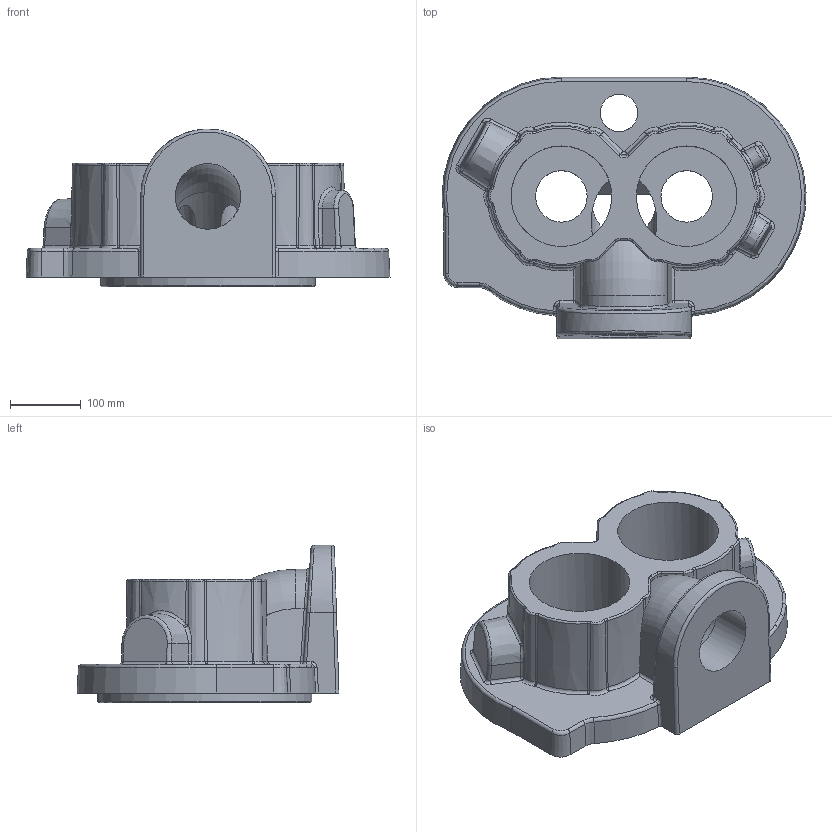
import cadquery as cq
import math

flange_radius = 168.5
overall_length = 513.77
overall_height = 222.83
front_face_y = -201.14
bore_offset = overall_length / 2 - flange_radius
flange_thickness = 40.5
flange_draft = 3.0
embed = flange_thickness / 2
flange_edge_radius = 4.5
pilot_chamfer = 1.5
corner_side_x = -254.4
corner_front_y = -128.6
corner_radius = 20.0
corner_blend_radius = 20.0

pilot_radius = 151.5
pilot_center_y = -11.6
pilot_depth = 14.0

housing_top = 160.5
housing_radius = 98.5
housing_draft = 1.0
housing_edge_radius = 2.5
rib_radius = 17.0
rib_pitch_radius = 86.0
rib_blend_radius = 8.0
rib_angles = (60, 120, 180, 240, 300)
notch_flat_y = 62.0
base_fillet = 4.5

bore_radius = 71.0
bore_floor = 47.0
outlet_radius = 36.3
vent_radius = 26.4
vent_center = (-7.0, 117.8)

port_plate_radius = 95.0
port_axis_z = overall_height - pilot_depth - port_plate_radius
port_plate_thickness = 53.0
port_back_y = front_face_y + port_plate_thickness
port_front_draft = 1.8
port_back_draft = 3.8
port_edge_radius = 4.5
port_fillet = 4.0
port_radius = 46.3
neck_radius = 61.0
neck_draft = 5.0
bend_radius = 90.0
bend_angle = 45.0
bend_start_y = -140.0
neck_tail = 40.0
passage_tail = 102.0
outflow_radius = 44.5
outflow_top = 22.0

pad_draft = 3.0
pad_edge_radius = 5.0
pad_inner_radius = 79.0
pads = (
    (-1, 150, 40.0, 147.0, 69.5),
    (1, 30, 13.0, 127.0, 96.5),
    (1, -30, 25.0, 127.0, 96.5),
)

edge_samples = (0.1, 0.5, 0.9)
touch_gap = 1e-4


def rise(distance, degrees):
    """Sideways shift of a drafted wall over a height."""
    return distance * math.tan(math.radians(degrees))


def near(point):
    """Selector for the sketch vertex at a point."""
    x, y = point
    return cq.selectors.BoxSelector((x - 1, y - 1, -1), (x + 1, y + 1, 1))


def edges_between(body, first, second):
    """Edges of a body that run along the surfaces of both given bodies."""
    shared = []
    for edge in body.edges().vals():
        samples = [cq.Vertex.makeVertex(*edge.positionAt(t).toTuple()) for t in edge_samples]
        if all(part.val().distance(point) < touch_gap for part in (first, second) for point in samples):
            shared.append(edge)
    return shared


def flange():
    """Drafted obround plate with one squared corner at the front left."""
    corner_end_x = -bore_offset - math.sqrt(flange_radius**2 - corner_front_y**2)
    corner_end = (corner_end_x, corner_front_y)
    corner_tip = (corner_side_x, corner_front_y)
    outline = (
        cq.Sketch()
        .slot(2 * bore_offset, 2 * flange_radius)
        .polygon([(corner_side_x, 0), (-bore_offset, 0), corner_end, corner_tip, (corner_side_x, 0)])
        .clean()
        .vertices(near(corner_tip))
        .fillet(corner_radius)
        .reset()
        .vertices(near(corner_end))
        .fillet(corner_blend_radius)
        .reset()
    )
    plate = cq.Workplane("XY").placeSketch(outline).extrude(flange_thickness, taper=flange_draft)
    return plate.faces(">Z").edges().fillet(flange_edge_radius)


def pilot():
    """Round locating spigot under the flange."""
    return (
        cq.Workplane("XY", origin=(0, pilot_center_y, -pilot_depth))
        .circle(pilot_radius)
        .extrude(pilot_depth + embed)
        .faces("<Z")
        .edges()
        .chamfer(pilot_chamfer)
    )


def housing():
    """Twin-bore tower with vertical ribs and a V-shaped notch at the front and back."""
    tangent = rib_radius / math.sqrt(2)
    shoulder_x = bore_offset - rib_pitch_radius * math.cos(math.radians(60)) - tangent
    shoulder_y = rib_pitch_radius * math.sin(math.radians(60)) + tangent
    valley_y = shoulder_y - shoulder_x
    bridge = [
        (-shoulder_x, shoulder_y),
        (0, valley_y),
        (shoulder_x, shoulder_y),
        (shoulder_x, -shoulder_y),
        (notch_flat_y - valley_y, -notch_flat_y),
        (valley_y - notch_flat_y, -notch_flat_y),
        (-shoulder_x, -shoulder_y),
        (-shoulder_x, shoulder_y),
    ]
    outline = cq.Sketch().polygon(bridge)
    for side in (-1, 1):
        outline = outline.push([(side * bore_offset, 0)]).circle(housing_radius).reset()
        for angle in rib_angles:
            turn = math.radians(angle)
            x = bore_offset - rib_pitch_radius * math.cos(turn)
            y = rib_pitch_radius * math.sin(turn)
            outline = outline.push([(side * x, y)]).circle(rib_radius).reset()
    outline = outline.clean().vertices().filter(lambda v: abs(abs(v.X) - shoulder_x) > 1)
    outline = outline.fillet(rib_blend_radius).reset()
    return (
        cq.Workplane("XY", origin=(0, 0, housing_top))
        .placeSketch(outline)
        .extrude(-(housing_top - embed), taper=-housing_draft)
        .faces(">Z")
        .edges()
        .fillet(housing_edge_radius)
    )


def elbow(radius, start_y, tail):
    """Round bar that starts level at start_y, bends down toward +Y and ends in a straight tail."""
    turn = math.radians(bend_angle)
    half_turn = turn / 2
    middle = (
        bend_start_y + bend_radius * math.sin(half_turn),
        port_axis_z - bend_radius * (1 - math.cos(half_turn)),
    )
    end = (
        bend_start_y + bend_radius * math.sin(turn),
        port_axis_z - bend_radius * (1 - math.cos(turn)),
    )
    tip = (end[0] + tail * math.cos(turn), end[1] - tail * math.sin(turn))
    path = (
        cq.Workplane("YZ")
        .moveTo(start_y, port_axis_z)
        .lineTo(bend_start_y, port_axis_z)
        .threePointArc(middle, end)
        .lineTo(*tip)
    )
    return cq.Workplane("XZ", origin=(0, start_y, port_axis_z)).circle(radius).sweep(path)


def neck():
    """Outside of the port passage: an elbow standing on drafted side walls that meet it smoothly."""
    turn = math.radians(bend_angle)
    spring_rise = neck_radius * math.sin(math.radians(neck_draft))
    spring_half_width = neck_radius * math.cos(math.radians(neck_draft))
    spring_z = port_axis_z + spring_rise
    spring_bend_radius = bend_radius + spring_rise
    front_y = port_back_y - port_plate_thickness / 2
    end_y = bend_start_y + spring_bend_radius * math.sin(turn)
    end_z = spring_z - spring_bend_radius * (1 - math.cos(turn))
    below_spring = (
        cq.Workplane("YZ", origin=(-port_plate_radius, 0, 0))
        .moveTo(front_y, 0)
        .lineTo(front_y, spring_z)
        .lineTo(bend_start_y, spring_z)
        .radiusArc((end_y, end_z), spring_bend_radius)
        .lineTo(end_y, 0)
        .close()
        .extrude(2 * port_plate_radius)
    )
    foot_half_width = spring_half_width + rise(spring_z, neck_draft)
    walls = (
        cq.Workplane("XZ", origin=(0, front_y, 0))
        .moveTo(-foot_half_width, 0)
        .lineTo(foot_half_width, 0)
        .lineTo(spring_half_width, spring_z)
        .lineTo(-spring_half_width, spring_z)
        .close()
        .extrude(front_y - end_y)
    )
    return walls.intersect(below_spring).union(elbow(neck_radius, front_y, neck_tail))


def port_plate():
    """Arched mounting face of the port, thinner at the top than at the bottom."""
    top_z = port_axis_z + port_plate_radius
    arch = (
        cq.Workplane("XZ", origin=(0, front_face_y, 0))
        .moveTo(-port_plate_radius, 0)
        .lineTo(-port_plate_radius, port_axis_z)
        .threePointArc((0, top_z), (port_plate_radius, port_axis_z))
        .lineTo(port_plate_radius, 0)
        .close()
        .extrude(-2 * port_plate_thickness)
    )
    wedge = (
        cq.Workplane("YZ", origin=(-port_plate_radius, 0, 0))
        .moveTo(front_face_y, 0)
        .lineTo(port_back_y, 0)
        .lineTo(port_back_y - rise(top_z, port_back_draft), top_z)
        .lineTo(front_face_y + rise(top_z, port_front_draft), top_z)
        .close()
        .extrude(2 * port_plate_radius)
    )
    plate = arch.intersect(wedge)
    return plate.faces(">Z").edges("<Y or >Y").fillet(port_edge_radius)


def pad(side, direction, half_width, reach, arch_z):
    """Arched lug that stands on the flange and points radially away from one bore."""
    turn = math.radians(direction)
    frame = cq.Plane(
        origin=(side * bore_offset, 0, 0),
        xDir=(-math.sin(turn), math.cos(turn), 0),
        normal=(math.cos(turn), math.sin(turn), 0),
    )
    arch = (
        cq.Workplane(frame)
        .workplane(offset=reach)
        .moveTo(-half_width, 0)
        .lineTo(half_width, 0)
        .lineTo(half_width, arch_z)
        .threePointArc((0, arch_z + half_width), (-half_width, arch_z))
        .close()
        .extrude(pad_inner_radius - reach, taper=-pad_draft)
    )
    side_frame = cq.Plane(origin=frame.origin, xDir=frame.zDir, normal=-frame.xDir)
    top_z = 2 * arch_z
    leaning_face = (
        cq.Workplane(side_frame)
        .moveTo(pad_inner_radius, embed)
        .lineTo(reach, embed)
        .lineTo(reach - rise(top_z, pad_draft), top_z)
        .lineTo(pad_inner_radius, top_z)
        .close()
        .extrude(2 * half_width, both=True)
    )
    lug = arch.intersect(leaning_face)
    lean = math.radians(pad_draft)
    outward = frame.zDir * math.cos(lean) + cq.Vector(0, 0, math.sin(lean))
    flat_faces = lug.faces("%PLANE").vals()
    outer_face = max(flat_faces, key=lambda face: face.normalAt().dot(outward))
    return lug.newObject([outer_face]).edges().fillet(pad_edge_radius)


def drill(x, y, radius, bottom_z, top_z):
    """Vertical round cutter between two heights."""
    return cq.Workplane("XY", origin=(x, y, bottom_z)).circle(radius).extrude(top_z - bottom_z)


def tower_on_flange(plate):
    """Flange with the housing and its lugs, blended together along their feet."""
    tower = housing()
    lugs = [pad(*sizes) for sizes in pads]
    raised = tower
    for lug in lugs:
        raised = raised.union(lug)
    body = plate.union(raised)
    seams = edges_between(body, plate, raised)
    for lug in lugs:
        seams += edges_between(body, lug, tower)
    return body.newObject(seams).fillet(base_fillet)


def port_on_flange(plate):
    """Flange with the port's neck and mounting face, blended together."""
    tube = neck()
    face = port_plate()
    port = tube.union(face)
    corner = [edge for edge in edges_between(port, tube, face) if edge.Center().z > embed / 2]
    port = port.newObject(corner).fillet(port_fillet)
    body = plate.union(port)
    seams = [edge for edge in edges_between(body, plate, port) if edge.Center().z > 1]
    return body.newObject(seams).fillet(port_fillet)


base_plate = flange()
result = tower_on_flange(base_plate).union(port_on_flange(base_plate)).union(pilot())
for bore_side in (-1, 1):
    bore_x = bore_side * bore_offset
    result = result.cut(drill(bore_x, 0, bore_radius, bore_floor, overall_height))
    result = result.cut(drill(bore_x, 0, outlet_radius, -pilot_depth, overall_height))
result = result.cut(drill(*vent_center, vent_radius, -pilot_depth, overall_height))
result = result.cut(elbow(port_radius, front_face_y, passage_tail))
result = result.cut(drill(0, pilot_center_y, outflow_radius, -pilot_depth, outflow_top))